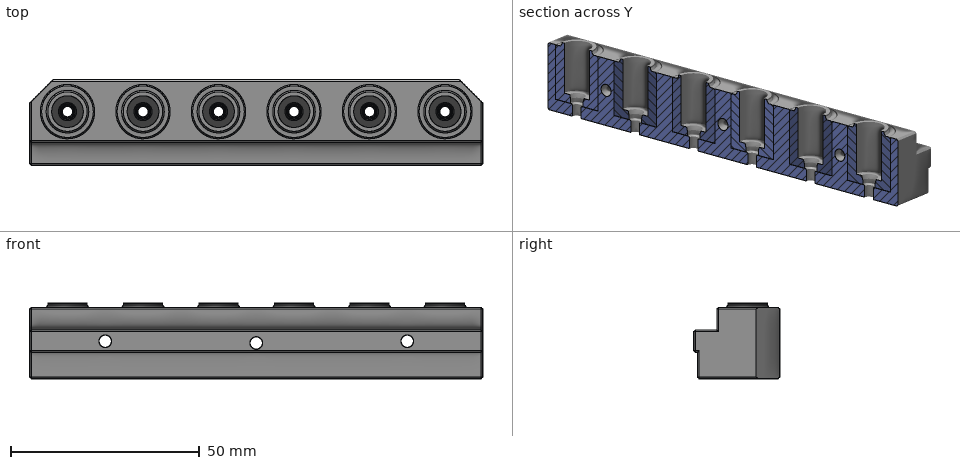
import cadquery as cq

length = 120.0
depth = 22.8
block_height = 19.0
step_depth = 16.7
ledge_height = 13.0
lip_bottom = 7.0
lip_overhang = 1.0
corner_chamfer = 6.2
edge_chamfer = 0.5

cross_hole_diameter = 3.2
cross_hole_spacing = length / 3
outer_cross_hole_height = 10.0
middle_cross_hole_height = 9.5

bushing_count = 6
bushing_pitch = length / bushing_count
bushing_setback = 8.5
bushing_diameter = 14.4
bushing_rim_chamfer = 0.4
bushing_bottom = 3.6
bushing_floor = 2.4
bore_diameter = 8.4

collar_diameter = 10.5
collar_foot_diameter = 11.3
collar_height = 1.1
collar_land = 0.5

outlet_diameter = 4.1
outlet_lead_in = 0.4
outlet_lead_in_depth = 1.2
port_diameter = 2.8
port_chamfer = 0.4

back_y = depth / 2
front_y = -depth / 2
riser_y = back_y - step_depth
lower_front_y = front_y + lip_overhang
bushing_y = back_y - bushing_setback
bushing_top = block_height + collar_height
bore_bottom = bushing_bottom + bushing_floor
bushing_places = [
    ((i - (bushing_count - 1) / 2) * bushing_pitch, bushing_y) for i in range(bushing_count)
]


def make_stepped_bar():
    """Bar with a ledge and an overhanging lip along its front, and two cut back corners."""
    bar = (
        cq.Workplane("YZ")
        .moveTo(back_y, 0)
        .lineTo(back_y, block_height)
        .lineTo(riser_y, block_height)
        .lineTo(riser_y, ledge_height)
        .lineTo(front_y, ledge_height)
        .lineTo(front_y, lip_bottom)
        .lineTo(lower_front_y, lip_bottom)
        .lineTo(lower_front_y, 0)
        .close()
        .extrude(length / 2, both=True)
    )
    bar = bar.faces("<X or >X or <Y or >Z or <Z").edges().chamfer(edge_chamfer)
    return bar.intersect(make_plan_outline())


def make_plan_outline():
    """Full-height prism with the two back corners cut at 45 degrees."""
    return (
        cq.Workplane("XY")
        .rect(length, depth)
        .extrude(block_height)
        .edges("|Z and >Y")
        .chamfer(corner_chamfer)
    )


def cut_cross_holes(block):
    """Three holes along Y; the middle one sits a little lower."""
    hole_places = [
        (-cross_hole_spacing, outer_cross_hole_height),
        (0, middle_cross_hole_height),
        (cross_hole_spacing, outer_cross_hole_height),
    ]
    holes = (
        cq.Workplane("XZ")
        .pushPoints(hole_places)
        .circle(cross_hole_diameter / 2)
        .extrude(depth, both=True)
    )
    return block.cut(holes)


def cut_bushing_seats(block):
    """Blind seat for each bushing, with a narrow countersunk port from its floor to the underside."""
    seats = (
        cq.Workplane("XY", origin=(0, 0, bushing_bottom))
        .pushPoints(bushing_places)
        .circle(bushing_diameter / 2)
        .extrude(block_height - bushing_bottom)
    )
    ports = (
        cq.Workplane("XY")
        .pushPoints(bushing_places)
        .circle(port_diameter / 2)
        .extrude(bushing_bottom)
    )
    countersinks = (
        cq.Workplane("XY", origin=(0, 0, bushing_bottom))
        .pushPoints(bushing_places)
        .circle(port_diameter / 2 + port_chamfer)
        .extrude(-port_chamfer, taper=45)
    )
    return block.cut(seats).cut(ports).cut(countersinks)


def make_block():
    return cut_bushing_seats(cut_cross_holes(make_stepped_bar()))


def make_bushing(x, y):
    """Turned bushing: bevelled rim, flared collar, deep bore and a small outlet."""
    rim_radius = bushing_diameter / 2
    outlet_radius = outlet_diameter / 2
    half_section = (
        cq.Workplane("XZ")
        .moveTo(outlet_radius, bushing_bottom)
        .lineTo(rim_radius, bushing_bottom)
        .lineTo(rim_radius, block_height - bushing_rim_chamfer)
        .lineTo(rim_radius - bushing_rim_chamfer, block_height)
        .lineTo(collar_foot_diameter / 2, block_height)
        .lineTo(collar_diameter / 2, bushing_top - collar_land)
        .lineTo(collar_diameter / 2, bushing_top)
        .lineTo(bore_diameter / 2, bushing_top)
        .lineTo(bore_diameter / 2, bore_bottom)
        .lineTo(outlet_radius + outlet_lead_in, bore_bottom)
        .lineTo(outlet_radius, bore_bottom - outlet_lead_in_depth)
        .close()
    )
    return half_section.revolve(360, (0, 0), (0, 1)).translate((x, y, 0))


block = make_block()
bushings = [make_bushing(x, y) for x, y in bushing_places]

result = cq.Compound.makeCompound([block.val(), *[bushing.val() for bushing in bushings]])